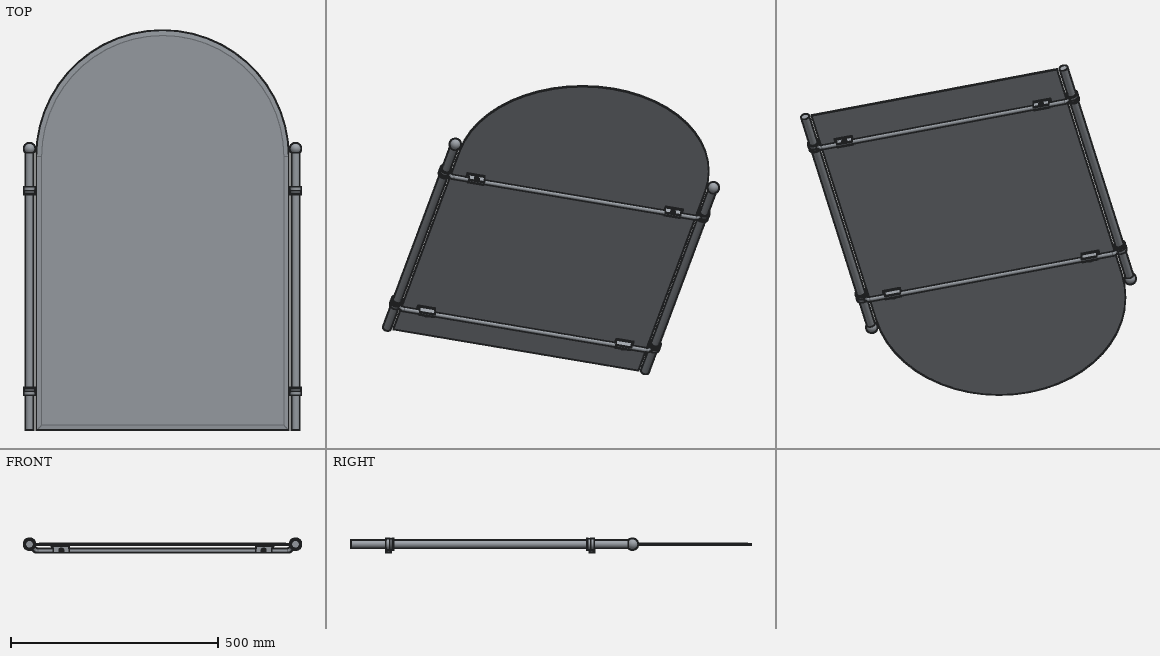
import cadquery as cq
import math

PANEL_LENGTH = 965.2
PANEL_RADIUS = 304.8
PANEL_SPRING_Y = PANEL_LENGTH - PANEL_RADIUS
PANEL_THICKNESS = 4.0
BEVEL_WIDTH = 12.7
BEVEL_DROP = 0.8

OVERALL_WIDTH = 670.16
BALL_RADIUS = 14.29
POST_RADIUS = 10.3
POST_X = OVERALL_WIDTH / 2 - BALL_RADIUS
BALL_Y = 679.0

COLLAR_RADIUS = BALL_RADIUS
COLLAR_LENGTH = 19.05
COLLAR_FLANGE = 3.175
COLLAR_BAND = COLLAR_LENGTH / 2
WAIST_DEPTH = 0.6
COLLAR_MIDDLE_Y = 335.9
COLLAR_SPACING = 484.0

OVERALL_HEIGHT = 35.38
BAR_RADIUS = 5.56
BAR_Z = COLLAR_RADIUS - OVERALL_HEIGHT + BAR_RADIUS
BEND_RADIUS = 9.525
BEND_ANGLE = math.radians(45)
BAR_SETBACK = 12.3

BRACKET_X = 244.0
BRACKET_WIDTH = 38.1
BRACKET_DEPTH = 12.0
BRACKET_BOTTOM_Z = -20.0
PAD_DEPTH = 16.0
PAD_BOTTOM_Z = -4.6
PAD_REACH = 5.0
GUSSET_DROP = 6.5
SCREW_RADIUS = 5.5
SCREW_HEIGHT = 1.0
SOCKET_RADIUS = 2.5


def panel_outline(inset, z):
    """Closed arch outline, set in from the panel edge, at height z."""
    half_width = PANEL_RADIUS - inset
    return (
        cq.Workplane("XY", origin=(0, 0, z))
        .moveTo(-half_width, inset)
        .lineTo(half_width, inset)
        .lineTo(half_width, PANEL_SPRING_Y)
        .threePointArc((0, PANEL_SPRING_Y + half_width), (-half_width, PANEL_SPRING_Y))
        .close()
    )


def make_panel():
    """Flat sheet with a shallow bevelled border on the upper face."""
    bottom_z = -PANEL_THICKNESS / 2
    edge_height = PANEL_THICKNESS - BEVEL_DROP
    sheet = panel_outline(0, bottom_z).extrude(edge_height)
    lower_rim = panel_outline(0, bottom_z + edge_height).wire().val()
    upper_rim = panel_outline(BEVEL_WIDTH, bottom_z + PANEL_THICKNESS).wire().val()
    bevel = cq.Solid.makeLoft([lower_rim, upper_rim], True)
    return sheet.union(cq.Workplane(obj=bevel))


def cylinder_along_y(x, z, radius, start_y, length):
    """Round bar parallel to Y."""
    axis_start = cq.Vector(x, start_y, z)
    return cq.Workplane(obj=cq.Solid.makeCylinder(radius, length, axis_start, cq.Vector(0, 1, 0)))


def make_post(side):
    """Post from the bottom edge level up into its ball finial."""
    post = cylinder_along_y(side * POST_X, 0, POST_RADIUS, 0, BALL_Y)
    ball = cq.Workplane("XY", origin=(side * POST_X, BALL_Y, 0)).sphere(BALL_RADIUS)
    return post.union(ball)


def flange_face_y(end):
    """Y of the collar face that looks toward the middle of the post; end = +1 is the ball end."""
    return COLLAR_MIDDLE_Y + end * (COLLAR_SPACING - COLLAR_LENGTH) / 2


def bar_axis_y(end):
    """Y of the cross bar axis at one end of the posts."""
    return flange_face_y(end) + end * BAR_SETBACK


def disc_on_post(side, radius, y_a, y_b):
    """Disc centred on a post axis, between two Y positions in either order."""
    return cylinder_along_y(side * POST_X, 0, radius, min(y_a, y_b), abs(y_b - y_a))


def make_collar(side, end):
    """Collar with a recessed waist; its flange faces the middle of the post."""
    inner_y = flange_face_y(end)
    outer_y = inner_y + end * COLLAR_LENGTH
    waist = disc_on_post(side, COLLAR_RADIUS - WAIST_DEPTH, inner_y, outer_y)
    flange = disc_on_post(side, COLLAR_RADIUS, inner_y, inner_y + end * COLLAR_FLANGE)
    band = disc_on_post(side, COLLAR_RADIUS, outer_y - end * COLLAR_BAND, outer_y)
    return waist.union(flange).union(band)


def make_cross_bar(end):
    """Round bar whose two ends bend up to the post axes."""
    y = bar_axis_y(end)
    corner_x = POST_X + BAR_Z / math.tan(BEND_ANGLE)
    tangent = BEND_RADIUS * math.tan(BEND_ANGLE / 2)
    straight_x = corner_x - tangent
    bend_mid = (
        straight_x + BEND_RADIUS * math.sin(BEND_ANGLE / 2),
        BAR_Z + BEND_RADIUS * (1 - math.cos(BEND_ANGLE / 2)),
    )
    bend_end = (
        corner_x + tangent * math.cos(BEND_ANGLE),
        BAR_Z + tangent * math.sin(BEND_ANGLE),
    )
    path = (
        cq.Workplane("XZ", origin=(0, y, 0))
        .moveTo(0, BAR_Z)
        .lineTo(straight_x, BAR_Z)
        .threePointArc(bend_mid, bend_end)
        .lineTo(POST_X, 0)
    )
    half = cq.Workplane("YZ").center(y, BAR_Z).circle(BAR_RADIUS).sweep(path)
    return half.union(half.mirror("YZ"))


def make_bracket(side, end):
    """Block around the bar, with a gusseted pad under the panel and a socket screw on its outer face."""
    y = bar_axis_y(end)
    inner_x = side * (BRACKET_X - BRACKET_WIDTH / 2)
    outer_x = side * (BRACKET_X + BRACKET_WIDTH / 2)
    pad_end_x = outer_x + side * PAD_REACH
    block_outline = [
        (inner_x, 0),
        (pad_end_x, 0),
        (pad_end_x, PAD_BOTTOM_Z),
        (outer_x, PAD_BOTTOM_Z - GUSSET_DROP),
        (outer_x, BRACKET_BOTTOM_Z),
        (inner_x, BRACKET_BOTTOM_Z),
    ]
    pad_outline = [(inner_x, 0), (pad_end_x, 0), (pad_end_x, PAD_BOTTOM_Z), (inner_x, PAD_BOTTOM_Z)]
    section_plane = cq.Workplane("XZ", origin=(0, y, 0))
    block = section_plane.polyline(block_outline).close().extrude(BRACKET_DEPTH / 2, both=True)
    pad = section_plane.polyline(pad_outline).close().extrude(PAD_DEPTH / 2, both=True)

    screw_x = side * BRACKET_X
    face_y = y + end * BRACKET_DEPTH / 2
    head = cylinder_along_y(screw_x, BAR_Z, SCREW_RADIUS, face_y - SCREW_HEIGHT, 2 * SCREW_HEIGHT)
    socket = cylinder_along_y(screw_x, BAR_Z, SOCKET_RADIUS, face_y - SCREW_HEIGHT, 2 * SCREW_HEIGHT)
    return block.union(pad).union(head).cut(socket)


result = make_panel()
for end in (-1, 1):
    result = result.union(make_cross_bar(end))
    for side in (-1, 1):
        result = result.union(make_bracket(side, end))
for side in (-1, 1):
    result = result.union(make_post(side))
    for end in (-1, 1):
        result = result.union(make_collar(side, end))